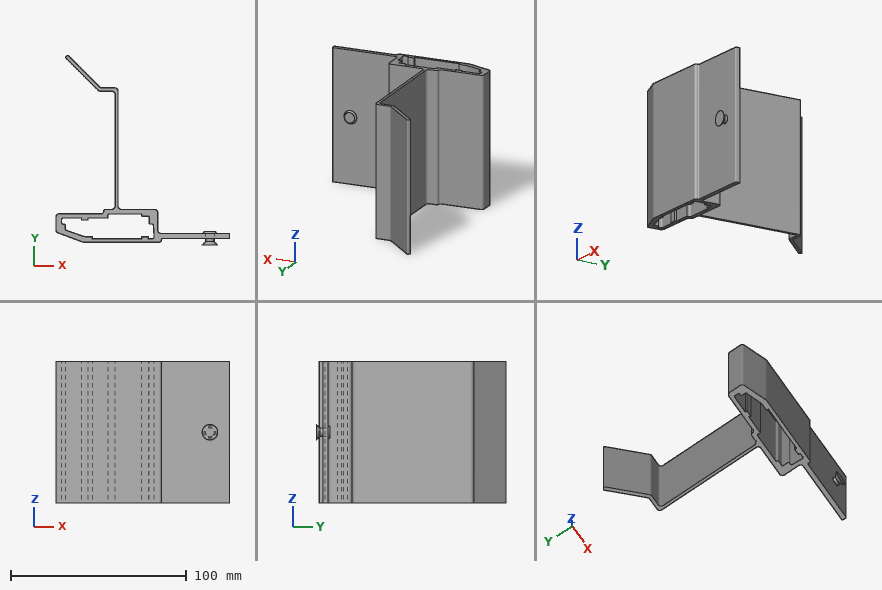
import cadquery as cq
import math

height = 80.6
profile_bottom = 1.6

box_right = 58.1
nose_top = 18.0
nose_bottom = 7.5
slope_end_x = 15.7
step_x = 27.2
roof_top = 20.5

flange_bottom = 3.8
flange_thickness = 2.9
flange_top = flange_bottom + flange_thickness
flange_right = 99.0
floor_right = 60.1

web_left = 33.8
web_thickness = 1.7
web_right = web_left + web_thickness
lip_thickness = 2.1
lip_bottom = 87.6
lip_top = lip_bottom + lip_thickness
bend_x = 24.7
overall_top = 108.2
tip_radius = 0.5

cavity_floor = 3.8
cavity_left = 3.4
nose_ceiling = 15.5
raised_ceiling = 17.7
ceiling_step_x = 29.6
pad_height = 1.2
pad_width = 3.8
pad_top = cavity_floor + pad_height
ceiling_pad_x = 14.6
right_pad_x = 48.9
left_pad_start = 16.1
left_pad_end = 20.9
shelf_y = 16.4
shelf_right = 53.1
ledge_y = 12.0
left_ledge_x = 5.4
left_ledge_bottom = 8.8
wall_upper_x = 55.5
wall_lower_x = 55.9

slope_radius = 4.8
large_radius = 2.0
medium_radius = 1.2
floor_radius = 1.3
flange_root_radius = 0.8
small_radius = 0.9
fine_radius = 0.5

rivet_x = 87.7
rivet_z = height / 2
shank_diameter = 5.0
head_diameter = 8.9
head_height = 2.1
tail_diameter = 8.0
tail_face_diameter = 6.3
tail_height = 1.2


def rounded_outline(corners):
    """Closed outline through (x, y, radius) corners, each rounded by a tangent arc; radius 0 stays sharp."""
    path = []
    for i, (x, y, radius) in enumerate(corners):
        corner = cq.Vector(x, y)
        to_previous = (cq.Vector(*corners[i - 1][:2]) - corner).normalized()
        to_next = (cq.Vector(*corners[(i + 1) % len(corners)][:2]) - corner).normalized()
        if radius == 0:
            path.append((corner,))
            continue
        half_angle = to_previous.getAngle(to_next) / 2
        tangent_length = radius / math.tan(half_angle)
        apex_distance = radius / math.sin(half_angle) - radius
        middle = corner + (to_previous + to_next).normalized() * apex_distance
        path.append((corner + to_previous * tangent_length, middle, corner + to_next * tangent_length))

    outline = cq.Workplane("XY").moveTo(path[0][-1].x, path[0][-1].y)
    for points in path[1:] + path[:1]:
        outline = outline.lineTo(points[0].x, points[0].y)
        if len(points) > 1:
            outline = outline.threePointArc(points[1].toTuple()[:2], points[2].toTuple()[:2])
    return outline.close()


def make_outer_shape():
    """Closed box, side flange, upright web and bent lip, without the cavity."""
    tip_offset = lip_thickness / math.sqrt(2)
    bend_shift = lip_thickness * math.tan(math.pi / 8)
    tip_y = overall_top + tip_radius * (math.sqrt(2) - 1)
    tip_x = bend_x + lip_bottom - (tip_y - tip_offset) + tip_offset
    corners = [
        (0, nose_bottom, large_radius),
        (slope_end_x, profile_bottom, slope_radius),
        (floor_right, profile_bottom, floor_radius),
        (floor_right, flange_bottom, flange_root_radius),
        (flange_right, flange_bottom, tip_radius),
        (flange_right, flange_top, tip_radius),
        (box_right, flange_top, large_radius),
        (box_right, roof_top, large_radius),
        (web_right, roof_top, large_radius),
        (web_right, lip_top, large_radius),
        (bend_x + bend_shift, lip_top, large_radius),
        (tip_x, tip_y, tip_radius),
        (tip_x - tip_offset, tip_y - tip_offset, tip_radius),
        (bend_x, lip_bottom, large_radius),
        (web_left, lip_bottom, large_radius),
        (web_left, roof_top, large_radius),
        (step_x, roof_top, medium_radius),
        (step_x, nose_top, medium_radius),
        (0, nose_top, large_radius),
    ]
    return rounded_outline(corners).extrude(height)


def make_cavity():
    """Through cavity of the box, with its pads, ledges and corner shelf."""
    corners = [
        (cavity_left, ledge_y, small_radius),
        (left_ledge_x, ledge_y, fine_radius),
        (left_ledge_x, left_ledge_bottom, small_radius),
        (left_pad_start, pad_top, slope_radius),
        (left_pad_end, pad_top, 0),
        (left_pad_end, cavity_floor, 0),
        (right_pad_x, cavity_floor, 0),
        (right_pad_x, pad_top, 0),
        (right_pad_x + pad_width, pad_top, 0),
        (right_pad_x + pad_width, cavity_floor, 0),
        (wall_lower_x, cavity_floor, small_radius),
        (wall_upper_x, ledge_y, small_radius),
        (shelf_right, ledge_y, fine_radius),
        (shelf_right, shelf_y, fine_radius),
        (right_pad_x, shelf_y, fine_radius),
        (right_pad_x, raised_ceiling, fine_radius),
        (ceiling_step_x, raised_ceiling, small_radius),
        (ceiling_step_x, nose_ceiling, 0),
        (ceiling_pad_x + pad_width, nose_ceiling, 0),
        (ceiling_pad_x + pad_width, nose_ceiling - pad_height, 0),
        (ceiling_pad_x, nose_ceiling - pad_height, 0),
        (ceiling_pad_x, nose_ceiling, 0),
        (cavity_left, nose_ceiling, small_radius),
    ]
    return rounded_outline(corners).extrude(height)


def make_rivet_hole():
    """Hole through the flange that fits the rivet shank."""
    return cq.Workplane("XZ", origin=(rivet_x, flange_top, rivet_z)).circle(shank_diameter / 2).extrude(
        flange_thickness
    )


def make_profile():
    return make_outer_shape().cut(make_cavity()).cut(make_rivet_hole())


def make_rivet():
    """Rivet revolved about an axis along Y: conical head, shank and chamfered tail."""
    return (
        cq.Workplane("XY", origin=(rivet_x, 0, rivet_z))
        .lineTo(head_diameter / 2, 0)
        .lineTo(shank_diameter / 2, head_height)
        .lineTo(shank_diameter / 2, flange_top)
        .lineTo(tail_diameter / 2, flange_top)
        .lineTo(tail_face_diameter / 2, flange_top + tail_height)
        .lineTo(0, flange_top + tail_height)
        .close()
        .revolve(360, (0, 0), (0, 1))
    )


profile = make_profile()
rivet = make_rivet()

result = cq.Compound.makeCompound([profile.val(), rivet.val()])